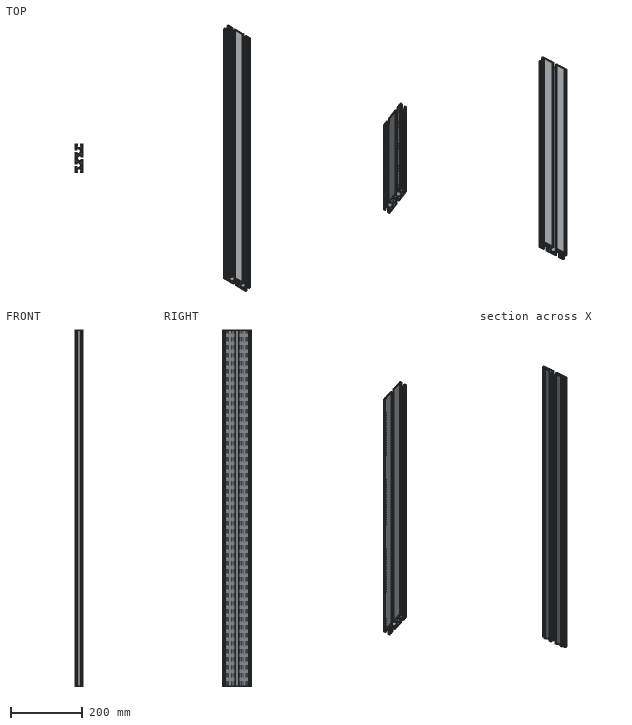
import cadquery as cq

width = 20.0
depth = 80.0
length = 1000.0

mouth_width = 9.0
lip_thickness = 3.0

slot_spacing = 20.0
side_cavity_width = 15.0
side_shoulder_depth = 9.0
side_slot_depth = 15.0

end_cavity_width = 15.0
end_shoulder_depth = 7.0
end_slot_depth = 10.0


def slot_start(cavity_width, shoulder_depth):
    """Upper side of a T-slot outline, from its mouth at X = 0 to the cavity shoulder."""
    return (
        cq.Workplane("XY")
        .moveTo(0, mouth_width / 2)
        .lineTo(lip_thickness, mouth_width / 2)
        .lineTo(lip_thickness, cavity_width / 2)
        .lineTo(shoulder_depth, cavity_width / 2)
    )


def slot_finish(outline, cavity_width):
    """Cutter of full length, closing an outline that has reached the lower shoulder."""
    return (
        outline
        .lineTo(lip_thickness, -cavity_width / 2)
        .lineTo(lip_thickness, -mouth_width / 2)
        .lineTo(0, -mouth_width / 2)
        .close()
        .extrude(length)
    )


def make_side_slot():
    """T-slot with a round bottom, running towards +X."""
    outline = slot_start(side_cavity_width, side_shoulder_depth).threePointArc(
        (side_slot_depth, 0), (side_shoulder_depth, -side_cavity_width / 2)
    )
    return slot_finish(outline, side_cavity_width)


def make_end_slot():
    """T-slot with bevelled corners and a flat floor as wide as its mouth, running towards +X."""
    outline = (
        slot_start(end_cavity_width, end_shoulder_depth)
        .lineTo(end_slot_depth, mouth_width / 2)
        .lineTo(end_slot_depth, -mouth_width / 2)
        .lineTo(end_shoulder_depth, -end_cavity_width / 2)
    )
    return slot_finish(outline, end_cavity_width)


def turned(slot, angle):
    """Slot turned about the Z axis."""
    return slot.rotate((0, 0, 0), (0, 0, 1), angle)


side_slot = make_side_slot()
end_slot = make_end_slot()

result = cq.Workplane("XY").rect(width, depth).extrude(length)

for y in (-slot_spacing, slot_spacing):
    result = result.cut(side_slot.translate((-width / 2, y, 0)))
result = result.cut(turned(side_slot, 180).translate((width / 2, 0, 0)))

result = result.cut(turned(end_slot, 90).translate((0, -depth / 2, 0)))
result = result.cut(turned(end_slot, -90).translate((0, depth / 2, 0)))